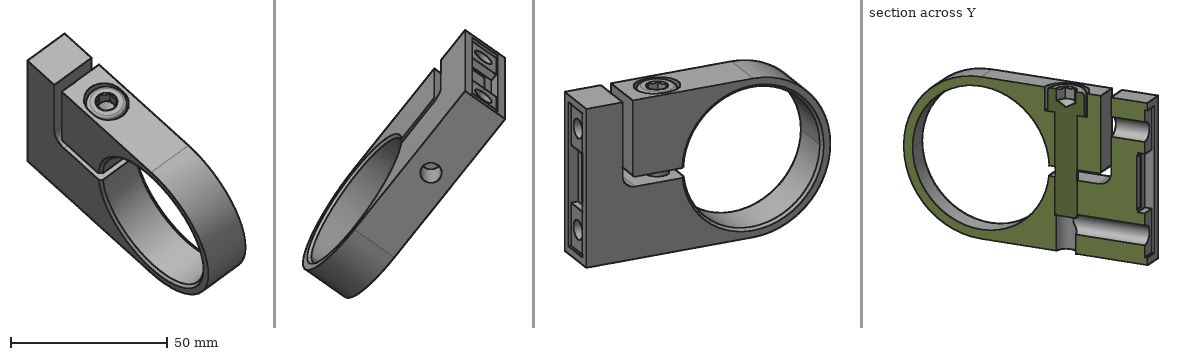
import cadquery as cq
import math


length = 86.65
width = 16.0
height = 55.0
ring_radius = height / 2
ring_x = length - ring_radius
bore_radius = 24.2
bore_chamfer = 0.95

slit_left_x = 12.9
slit_right_x = 16.5
slit_top_z = 0.95
slit_bottom_z = -2.4
slit_inner_radius = 1.0
slit_outer_radius = 4.5

recess_width = 10.2
recess_height = 49.8
recess_depth = 0.95
pocket_height = 20.0
pocket_depth = 3.5
label_width = 5.0
label_height = 18.0
label_depth = 0.35
mount_hole_diameter = 6.6
mount_hole_spacing = 35.0

screw_x = 28.9
shank_diameter = 8.0
shank_length = 35.0
shank_chamfer = 0.6
head_diameter = 13.0
head_height = 8.0
head_fillet = 1.1
socket_across_flats = 6.0
socket_depth = 4.0
socket_mouth_diameter = 7.1
socket_point_angle = 120.0
head_seat_z = height / 2 - head_height
shank_end_z = head_seat_z - shank_length

head_seat_length = 15.1
pilot_diameter = 6.85


def cylinder(x, bottom_z, top_z, diameter):
    """Upright cylinder on the plane Y = 0."""
    return (
        cq.Workplane("XY", origin=(x, 0, bottom_z))
        .circle(diameter / 2)
        .extrude(top_z - bottom_z)
    )


def face_block(block_width, block_height, start_x, end_x):
    """Centred rectangular block that runs along X behind the mounting face."""
    return (
        cq.Workplane("YZ", origin=(start_x, 0, 0))
        .rect(block_width, block_height)
        .extrude(end_x - start_x)
    )


def make_blank():
    """Flat plate with a round end that follows the ring."""
    return (
        cq.Workplane("XZ", origin=(0, width / 2, 0))
        .moveTo(0, -height / 2)
        .lineTo(ring_x, -height / 2)
        .threePointArc((length, 0), (ring_x, height / 2))
        .lineTo(0, height / 2)
        .close()
        .extrude(width)
    )


def make_bore():
    """Tube bore, widened by a chamfer at both ends."""
    half_width = width / 2
    mouth_radius = bore_radius + bore_chamfer
    return (
        cq.Workplane("XY", origin=(ring_x, 0, 0))
        .moveTo(0, -half_width)
        .lineTo(mouth_radius, -half_width)
        .lineTo(bore_radius, -half_width + bore_chamfer)
        .lineTo(bore_radius, half_width - bore_chamfer)
        .lineTo(mouth_radius, half_width)
        .lineTo(0, half_width)
        .close()
        .revolve(360, (0, 0, 0), (0, 1, 0))
    )


def make_slit():
    """Slit that drops from the top and turns into the bore."""
    profile = (
        cq.Workplane("XZ", origin=(0, width / 2, 0))
        .moveTo(slit_left_x, height / 2)
        .lineTo(slit_left_x, slit_bottom_z)
        .lineTo(ring_x, slit_bottom_z)
        .lineTo(ring_x, slit_top_z)
        .lineTo(slit_right_x, slit_top_z)
        .lineTo(slit_right_x, height / 2)
        .close()
        .extrude(width)
    )
    outer_corner = cq.selectors.NearestToPointSelector((slit_left_x, 0, slit_bottom_z))
    inner_corner = cq.selectors.NearestToPointSelector((slit_right_x, 0, slit_top_z))
    return (
        profile.edges("|Y").edges(outer_corner).fillet(slit_outer_radius)
        .edges("|Y").edges(inner_corner).fillet(slit_inner_radius)
    )


def make_face_recess():
    """Shallow recess, deeper middle pocket and sunken label panel."""
    label_end_x = pocket_depth + label_depth
    return (
        face_block(recess_width, recess_height, 0, recess_depth)
        .union(face_block(recess_width, pocket_height, 0, pocket_depth))
        .union(face_block(label_width, label_height, 0, label_end_x))
    )


def make_mount_hole(z, end_x):
    """Hole along X from the mounting face."""
    return (
        cq.Workplane("YZ", origin=(0, 0, z))
        .circle(mount_hole_diameter / 2)
        .extrude(end_x)
    )


def make_screw_hole():
    """Elongated head recess, shank hole and a narrower pilot hole through to the underside."""
    head_seat = (
        cq.Workplane("XY", origin=(screw_x, 0, head_seat_z))
        .slot2D(head_seat_length, head_diameter)
        .extrude(head_height)
    )
    shank_hole = cylinder(screw_x, shank_end_z, height / 2, shank_diameter)
    pilot_hole = cylinder(screw_x, -height / 2, shank_end_z, pilot_diameter)
    return head_seat.union(shank_hole).union(pilot_hole)


def make_clamp():
    """Clamp body; the upper mounting hole opens into the slit and the lower one into the screw hole."""
    upper_hole = make_mount_hole(mount_hole_spacing / 2, slit_left_x)
    lower_hole = make_mount_hole(-mount_hole_spacing / 2, screw_x)
    return (
        make_blank()
        .cut(make_bore())
        .cut(make_slit())
        .cut(make_face_recess())
        .cut(upper_hole)
        .cut(lower_hole)
        .cut(make_screw_hole())
    )


def make_socket():
    """Hexagon socket with a countersunk mouth and a drill point at its bottom."""
    top_z = height / 2
    floor_z = top_z - socket_depth
    across_corners = socket_across_flats / math.cos(math.pi / 6)
    hexagon = (
        cq.Workplane("XY", origin=(screw_x, 0, floor_z))
        .polygon(6, across_corners)
        .extrude(socket_depth)
    )
    mouth_radius = socket_mouth_diameter / 2
    mouth = cq.Solid.makeCone(
        mouth_radius, 0, mouth_radius, pnt=(screw_x, 0, top_z), dir=(0, 0, -1)
    )
    point_radius = socket_across_flats / 2
    point_height = point_radius / math.tan(math.radians(socket_point_angle / 2))
    drill_point = cq.Solid.makeCone(
        point_radius, 0, point_height, pnt=(screw_x, 0, floor_z), dir=(0, 0, -1)
    )
    return hexagon.union(cq.Workplane(mouth)).union(cq.Workplane(drill_point))


def make_screw():
    """Socket head screw whose head is flush with the top of the clamp."""
    head = cylinder(screw_x, head_seat_z, height / 2, head_diameter)
    head = head.faces(">Z").edges().fillet(head_fillet)
    shank = cylinder(screw_x, shank_end_z, head_seat_z, shank_diameter)
    shank = shank.faces("<Z").edges().chamfer(shank_chamfer)
    return head.union(shank).cut(make_socket())


clamp = make_clamp()
screw = make_screw()
result = cq.Compound.makeCompound([clamp.val(), screw.val()])